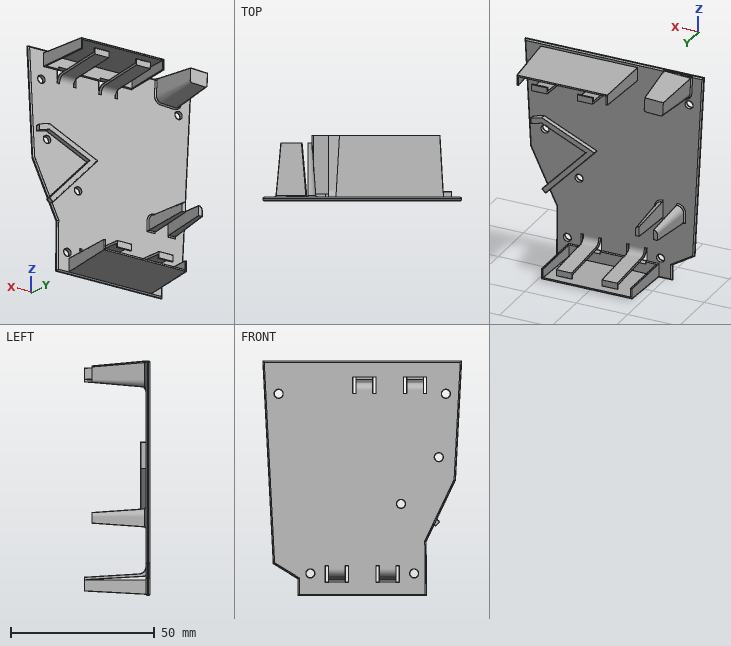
import cadquery as cq
import math

plate_top_width = 69.45
plate_height = 82.0
plate_thickness = 1.5
edge_chamfer = 0.5
half_top = plate_top_width / 2
plate_outline = [
    (-half_top, plate_height),
    (half_top, plate_height),
    (32.55, 40.4),
    (22.3, 18.95),
    (22.5, 0),
    (-22.5, 0),
    (-22.5, 5.9),
    (-31.1, 11.2),
]

hole_diameter = 3.0
hole_centres = [(-29.2, 70.5), (29.2, 70.5), (26.7, 48.4), (13.5, 32.1), (-18.1, 7.8), (18.1, 7.8)]

mirror_height = 40.55
upper_clip_x = 9.6
channel_half_width = 17.55
upper_channel_half_base = 18.8
depth = 23.0
wall = 0.6
channel_inner_z = 5.6
channel_outer_base_z = 0.5
channel_outer_tip_z = 1.6
pad_depth = 2.5

window_spacing = 17.7
window_width = 7.95
window_bottom = 4.75
window_top = 10.4
tongue_width = 6.0
tongue_thickness = 0.9
tongue_tip_z = 5.6
tongue_base_z = 6.7
bend_radius = 2.55
lip_bottom_z = 4.1

post_depth = 20.3
post_draft = 5.0
prong_draft = 4.0
foot_size = 0.5
post_tilt = 3.0
post_centre = (-24.7, 77.3)
post_base_width = 10.4
post_base_height = 8.7
post_corner_radius = 2.5
prong_centre_x = -21.8
prong_gap = 5.6
prong_base_width = 2.8
prong_bottom_z = 24.0
prong_top_z = 30.3

rib_depth = 3.4
rib_outline = [
    (31.25, 52.6),
    (27.1, 53.6),
    (6.6, 44.4),
    (25.6, 24.35),
    (27.0, 25.75),
    (9.9, 43.7),
    (27.15, 51.5),
    (31.25, 50.4),
]


def section(y):
    """Sketch plane in X and Z at the given distance behind the front face."""
    return cq.Workplane("XZ", origin=(0, y, 0))


def prism(points, y_start, y_end):
    """Straight prism along Y on a polygon given in X and Z."""
    return section(y_start).polyline(points).close().extrude(y_start - y_end)


def block(x_range, y_range, z_range):
    """Axis-aligned block from its three coordinate ranges."""
    size = [high - low for low, high in (x_range, y_range, z_range)]
    return cq.Workplane("XY").box(*size, centered=False).translate((x_range[0], y_range[0], z_range[0]))


def loft(base_wire, tip_wire):
    """Ruled solid between two wires."""
    return cq.Workplane(obj=cq.Solid.makeLoft([base_wire, tip_wire], True))


def rectangle_wire(y, half_width, z_low, z_high):
    """Rectangle centred on x = 0."""
    corners = [(-half_width, z_low), (half_width, z_low), (half_width, z_high), (-half_width, z_high)]
    return section(y).polyline(corners).close().val()


def make_plate():
    plate = prism(plate_outline, 0, plate_thickness)
    return plate.faces("<Y or >Y").edges().chamfer(edge_chamfer)


def make_channel(half_base):
    """Channel with sides drafted from half_base down to channel_half_width at the tip."""
    outer = loft(
        rectangle_wire(plate_thickness, half_base, channel_outer_base_z, channel_inner_z),
        rectangle_wire(depth, channel_half_width, channel_outer_tip_z, channel_inner_z),
    )
    inner = loft(
        rectangle_wire(pad_depth, half_base - wall, channel_outer_base_z + wall, plate_height),
        rectangle_wire(depth, channel_half_width - wall, channel_outer_tip_z + wall, plate_height),
    )
    return outer.cut(inner)


def window_centres():
    return (-window_spacing / 2, window_spacing / 2)


def make_windows():
    windows = cq.Workplane("XY")
    for x in window_centres():
        x_range = (x - window_width / 2, x + window_width / 2)
        windows = windows.add(block(x_range, (0, pad_depth), (window_bottom, window_top)))
    return windows.combine()


def make_tongues():
    """Tongues that bend back from the plate and end in a lip turned into the channel."""
    diagonal = bend_radius * math.sqrt(0.5)
    front_z = tongue_base_z + bend_radius
    back_y = plate_thickness + bend_radius
    back_z = tongue_base_z + tongue_thickness + bend_radius
    profile = (
        cq.Workplane("YZ")
        .moveTo(0, window_top)
        .lineTo(0, front_z)
        .threePointArc((bend_radius - diagonal, front_z - diagonal), (bend_radius, tongue_base_z))
        .lineTo(depth - wall, tongue_tip_z)
        .lineTo(depth - wall, lip_bottom_z)
        .lineTo(depth, lip_bottom_z)
        .lineTo(depth, tongue_tip_z + tongue_thickness)
        .lineTo(back_y, back_z - bend_radius)
        .threePointArc((back_y - diagonal, back_z - diagonal), (plate_thickness, back_z))
        .lineTo(plate_thickness, window_top)
        .close()
    )
    tongue = profile.extrude(tongue_width / 2, both=True)
    left_x, right_x = window_centres()
    return tongue.translate((left_x, 0, 0)).union(tongue.translate((right_x, 0, 0)))


def to_upper(shape):
    """Move a lower clip shape to the upper unit."""
    return shape.mirror("XY", (0, 0, mirror_height)).translate((upper_clip_x, 0, 0))


def drafted_boss(outline_wire, draft):
    """Boss tapering to post_depth on a short flared foot; outline_wire(y, inset) gives its sections."""
    foot_y = plate_thickness + foot_size
    shrink = (post_depth - foot_y) * math.tan(math.radians(draft))
    foot = loft(outline_wire(plate_thickness, -foot_size), outline_wire(foot_y, 0))
    return foot.union(loft(outline_wire(foot_y, 0), outline_wire(post_depth, shrink)))


def post_wire(y, inset):
    """Post outline about its own centre, lower corners rounded, inset evenly on all sides."""
    half_width = post_base_width / 2 - inset
    half_height = post_base_height / 2 - inset
    radius = post_corner_radius - inset
    inner_x = half_width - radius
    arc_x = inner_x + radius * math.sqrt(0.5)
    arc_z = -half_height + radius * (1 - math.sqrt(0.5))
    return (
        section(y)
        .moveTo(-half_width, half_height)
        .lineTo(-half_width, -half_height + radius)
        .threePointArc((-arc_x, arc_z), (-inner_x, -half_height))
        .lineTo(inner_x, -half_height)
        .threePointArc((arc_x, arc_z), (half_width, -half_height + radius))
        .lineTo(half_width, half_height)
        .close()
        .val()
    )


def make_post():
    post = drafted_boss(post_wire, post_draft)
    post = post.rotate((0, 0, 0), (0, 1, 0), -post_tilt)
    post = post.translate((post_centre[0], 0, post_centre[1]))
    return post.intersect(prism(plate_outline, plate_thickness, post_depth))


def prong_wire(y, inset):
    """Right prong outline: flat inner side, quarter-round at its outer top corner."""
    inner_x = prong_gap / 2
    radius = prong_base_width - inset
    top_z = prong_top_z - inset
    reach = radius * math.sqrt(0.5)
    return (
        section(y)
        .moveTo(inner_x, prong_bottom_z + inset)
        .lineTo(inner_x + radius, prong_bottom_z + inset)
        .lineTo(inner_x + radius, top_z - radius)
        .threePointArc((inner_x + reach, top_z - radius + reach), (inner_x, top_z))
        .close()
        .val()
    )


def make_prongs():
    right = drafted_boss(prong_wire, prong_draft)
    return right.union(right.mirror("YZ")).translate((prong_centre_x, 0, 0))


def make_holes():
    return section(0).pushPoints(hole_centres).circle(hole_diameter / 2).extrude(-plate_thickness)


windows = make_windows()
tongues = make_tongues()

result = make_plate()
result = result.union(make_channel(channel_half_width))
result = result.union(to_upper(make_channel(upper_channel_half_base)))
result = result.cut(windows).cut(to_upper(windows))
result = result.union(tongues).union(to_upper(tongues))
result = result.union(make_post()).union(make_prongs())
result = result.union(prism(rib_outline, plate_thickness, rib_depth))
result = result.cut(make_holes())